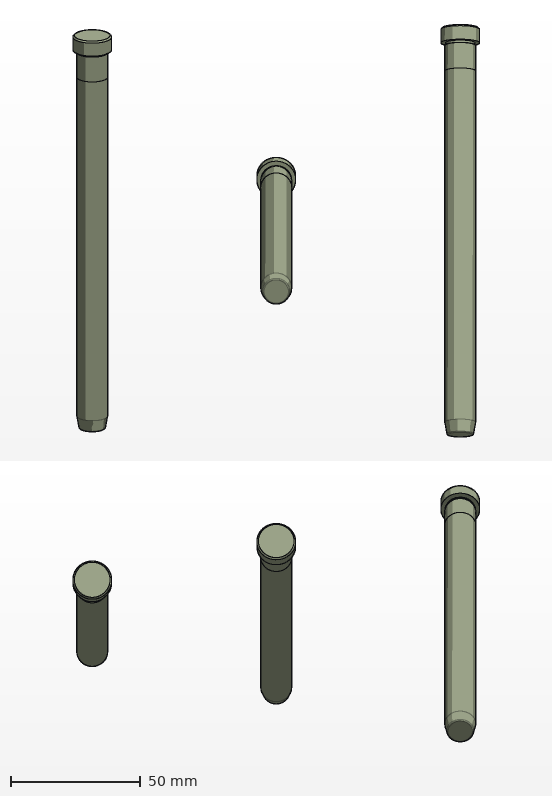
import cadquery as cq

total_length = 160.0
head_diameter = 15.0
shaft_diameter = 12.0

head_height = 6.0
head_chamfer = 0.6
collar_end_depth = 17.0
relief_height = 1.0
relief_depth = 0.3

tip_length = 5.0
tip_end_diameter = 10.2
tip_edge_radius = 0.5

head_bottom = total_length - head_height
relief_bottom = head_bottom - relief_height
joint_level = total_length - collar_end_depth


def make_head():
    """Round head with a collar below it and a relief groove between them."""
    collar = (
        cq.Workplane("XY")
        .workplane(offset=joint_level)
        .circle(shaft_diameter / 2)
        .extrude(relief_bottom - joint_level)
    )
    relief = (
        cq.Workplane("XY")
        .workplane(offset=relief_bottom)
        .circle(shaft_diameter / 2 - relief_depth)
        .extrude(relief_height)
    )
    cap = (
        cq.Workplane("XY")
        .workplane(offset=head_bottom)
        .circle(head_diameter / 2)
        .extrude(head_height)
        .faces(">Z")
        .edges()
        .chamfer(head_chamfer)
    )
    return collar.union(relief).union(cap)


def make_shaft():
    """Long cylinder that meets the collar and ends in a tapered, rounded tip."""
    barrel = (
        cq.Workplane("XY")
        .workplane(offset=tip_length)
        .circle(shaft_diameter / 2)
        .extrude(joint_level - tip_length)
    )
    tip = (
        cq.Workplane("XY")
        .circle(tip_end_diameter / 2)
        .workplane(offset=tip_length)
        .circle(shaft_diameter / 2)
        .loft(ruled=True)
        .faces("<Z")
        .edges()
        .fillet(tip_edge_radius)
    )
    return barrel.union(tip)


head = make_head()
shaft = make_shaft()

result = cq.Compound.makeCompound([head.val(), shaft.val()])